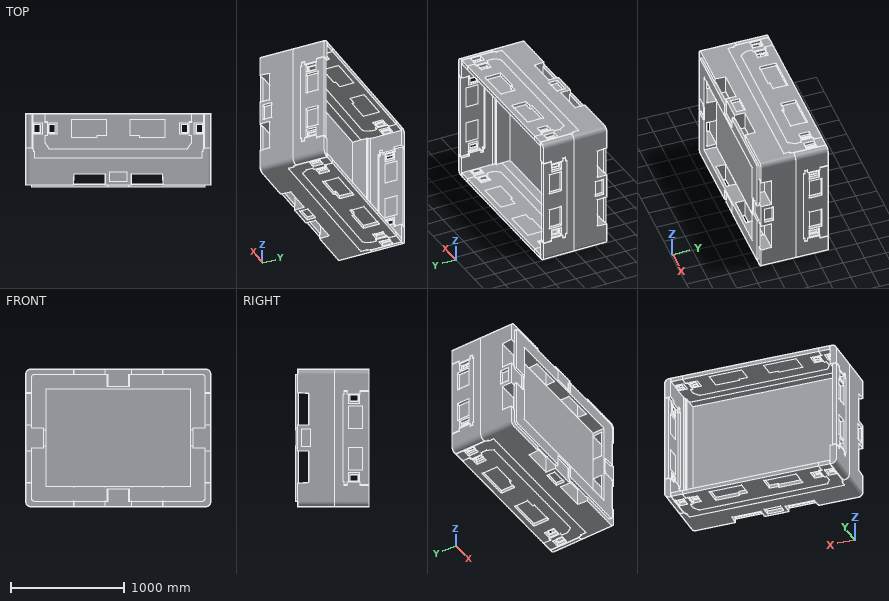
import cadquery as cq
LENGTH = 1638.0
WIDTH = 1219.0
HEIGHT = 650.0
CORNER_RADIUS = 46.0
END_WALL = 59.0
PANEL = 38.0
WALL_GAP = 5.0

MOUTH_Y = HEIGHT / 2
SKID_BOTTOM_Y = -HEIGHT / 2

END_SILL_Y = 20.0
LONG_SILL_Y = -65.0
FLOOR_Y = -147.0
FORK_TOP_Y = -210.0
FOOT_BOTTOM_Y = -306.0
UNDERSIDE_RECESS = 2.0

SKID_TOP_Y = -298.0
SKID_MARGIN_X = 50.0
SKID_MARGIN_Z = 48.0
SKID_CORNER_RADIUS = 30.0
WINDOW_HALF_X = 637.0
WINDOW_HALF_Z = 431.0
LONG_NOTCH_HALF = 90.0
LONG_NOTCH_CHAMFER = 10.0
END_NOTCH_HALF = 88.0
NOTCH_RIM = 23.0
END_RIM_DIP_HALF = 70.0
END_RIM_DIP = 3.0

FORK_INNER = 116.0
LONG_FORK_OUTER = 390.0
END_FORK_OUTER = 393.0
FORK_DRAFT = 7.0

FOOT_POCKET_HALF = 77.0
FOOT_POCKET_TOP_Y = -192.0
FOOT_POCKET_BOTTOM_Y = -274.0

POCKET_DEPTH = 31.0

LATCH_TAB_TOP_Y = 247.0
LATCH_TAB_BOTTOM_Y = 131.0
LATCH_RECESS_WIDTH = 74.0
LATCH_RECESS_TOP_Y = 242.0
LATCH_RECESS_BOTTOM_Y = 145.0
LATCH_RECESS_DEPTH = 31.0
LATCH_HOLE_WIDTH = 54.0
LATCH_HOLE_TOP_Y = 230.0
LATCH_HOLE_BOTTOM_Y = 157.0
LONG_WALL_LATCH = 745.0
LONG_DOOR_LATCH = 615.0
END_DOOR_LATCH = 380.0

LONG_WALL_HALF = LENGTH / 2 - END_WALL - WALL_GAP
LONG_WALL_STEP_HALF = 749.0
LONG_WALL_FOOT_HALF = 739.0
LONG_WALL_STEP_TOP_Y = 0.0
LONG_WALL_STEP_BOTTOM_Y = -10.0

LONG_DOOR_HALF = 649.0
LONG_DOOR_TAB_HALF = 626.0
LONG_DOOR_BOTTOM_HALF = 611.0
LONG_DOOR_GAP = 5.0
LONG_DOOR_CHAMFER_Y = 70.0
LONG_DOOR_BOTTOM_Y = 13.0
LONG_POCKET_OUTER = 415.0
LONG_POCKET_INNER = 105.0
LONG_POCKET_STEP = 187.0
LONG_POCKET_TOP_Y = 272.0
LONG_POCKET_BOTTOM_Y = 115.0
LONG_POCKET_STEP_Y = 133.0

END_OPENING_HALF = 420.0
END_DOOR_GAP = 5.0
END_DOOR_TAB_HALF = 390.0
END_DOOR_FOOT_HALF = 383.0
END_DOOR_SHOULDER_Y = 105.0
END_DOOR_BOTTOM_Y = 93.0
END_POCKET_OUTER = 283.0
END_POCKET_INNER = 84.0
END_POCKET_TOP_Y = 265.0
END_POCKET_BOTTOM_Y = 145.0


def block(x_range, y_range, z_range):
    """A box from its three coordinate ranges."""
    (x0, x1), (y0, y1), (z0, z1) = x_range, y_range, z_range
    box = cq.Workplane("XY").box(x1 - x0, y1 - y0, z1 - z0, centered=False)
    return box.translate((x0, y0, z0))


def panel(points, z_bottom, z_top):
    """A closed XY outline drawn out along Z."""
    outline = cq.Workplane("XY").workplane(offset=z_bottom).polyline(points).close()
    return outline.extrude(z_top - z_bottom)


def symmetric(right_half):
    """The right half of an outline, top to bottom, completed by its mirror image."""
    return right_half + [(-x, y) for x, y in reversed(right_half)]


def both_halves(shape):
    """A shape together with its mirror image about X = 0."""
    return shape.union(shape.mirror("YZ"))


def turned(shape, angle):
    """A side part modelled facing +Z, turned about Y to another side of the crate."""
    return shape.rotate((0, 0, 0), (0, 1, 0), angle)


def latch_cut(outer_edge, face):
    """Through holes with a wider outer recess, one at each end of a side whose outer face is at Z = face."""
    recess = block(
        (outer_edge - LATCH_RECESS_WIDTH, outer_edge),
        (LATCH_RECESS_BOTTOM_Y, LATCH_RECESS_TOP_Y),
        (face - LATCH_RECESS_DEPTH, face),
    )
    hole = block(
        (outer_edge - LATCH_HOLE_WIDTH, outer_edge),
        (LATCH_HOLE_BOTTOM_Y, LATCH_HOLE_TOP_Y),
        (face - PANEL, face),
    )
    return both_halves(recess.union(hole))


def long_wall_outline():
    return symmetric([
        (LONG_WALL_HALF, MOUTH_Y),
        (LONG_WALL_HALF, END_SILL_Y),
        (LONG_WALL_STEP_HALF, LONG_WALL_STEP_TOP_Y),
        (LONG_WALL_STEP_HALF, LONG_WALL_STEP_BOTTOM_Y),
        (LONG_WALL_FOOT_HALF, LONG_WALL_STEP_BOTTOM_Y),
        (LONG_WALL_FOOT_HALF, LONG_SILL_Y),
    ])


def long_door_outline(tab_top_y):
    return symmetric([
        (LONG_DOOR_HALF, MOUTH_Y),
        (LONG_DOOR_HALF, tab_top_y),
        (LONG_DOOR_TAB_HALF, tab_top_y),
        (LONG_DOOR_TAB_HALF, LATCH_TAB_BOTTOM_Y),
        (LONG_DOOR_HALF, LATCH_TAB_BOTTOM_Y),
        (LONG_DOOR_HALF, LONG_DOOR_CHAMFER_Y),
        (LONG_DOOR_BOTTOM_HALF, LONG_DOOR_BOTTOM_Y),
    ])


def end_door_outline(half_width):
    return symmetric([
        (half_width, MOUTH_Y),
        (half_width, LATCH_TAB_TOP_Y),
        (END_DOOR_TAB_HALF, LATCH_TAB_TOP_Y),
        (END_DOOR_TAB_HALF, LATCH_TAB_BOTTOM_Y),
        (half_width, LATCH_TAB_BOTTOM_Y),
        (half_width, END_DOOR_SHOULDER_Y),
        (END_DOOR_FOOT_HALF, END_DOOR_SHOULDER_Y),
        (END_DOOR_FOOT_HALF, END_DOOR_BOTTOM_Y),
    ])


def fork_cut(outer, face):
    """The two fork openings of a side whose outer face is at Z = face, cut right across the base."""
    opening = panel(
        [
            (FORK_INNER, FORK_TOP_Y),
            (outer, FORK_TOP_Y),
            (outer + FORK_DRAFT, FOOT_BOTTOM_Y),
            (FORK_INNER, FOOT_BOTTOM_Y),
        ],
        -face,
        face,
    )
    return both_halves(opening)


def foot_pocket_cut(face):
    """The label pocket in the middle foot of a side whose outer face is at Z = face."""
    return block(
        (-FOOT_POCKET_HALF, FOOT_POCKET_HALF),
        (FOOT_POCKET_BOTTOM_Y, FOOT_POCKET_TOP_Y),
        (face - POCKET_DEPTH, face),
    )


def long_notch_cut():
    """Notch in the skid ring at the +Z side, chamfered at both ends."""
    chamfer_y = SKID_BOTTOM_Y + LONG_NOTCH_CHAMFER
    outline = symmetric([
        (LONG_NOTCH_HALF, FOOT_BOTTOM_Y),
        (LONG_NOTCH_HALF, chamfer_y),
        (LONG_NOTCH_HALF + LONG_NOTCH_CHAMFER, SKID_BOTTOM_Y),
    ])
    return panel(outline, WINDOW_HALF_Z + NOTCH_RIM, WIDTH / 2)


def end_notch_cut():
    """Notch in the skid ring at the +X side, with a shallow dip in the rim behind it."""
    notch = block(
        (WINDOW_HALF_X + NOTCH_RIM, LENGTH / 2),
        (SKID_BOTTOM_Y, FOOT_BOTTOM_Y),
        (-END_NOTCH_HALF, END_NOTCH_HALF),
    )
    dip = block(
        (WINDOW_HALF_X, LENGTH / 2),
        (SKID_BOTTOM_Y, SKID_BOTTOM_Y + END_RIM_DIP),
        (-END_RIM_DIP_HALF, END_RIM_DIP_HALF),
    )
    return notch.union(dip)


def skid_ring():
    half_x = LENGTH / 2 - SKID_MARGIN_X
    half_z = WIDTH / 2 - SKID_MARGIN_Z
    ring = block((-half_x, half_x), (SKID_BOTTOM_Y, SKID_TOP_Y), (-half_z, half_z))
    ring = ring.edges("|Y").fillet(SKID_CORNER_RADIUS)
    for angle in (0, 180):
        ring = ring.cut(turned(long_notch_cut(), angle)).cut(turned(end_notch_cut(), angle))
    return ring


def pallet_base():
    base = block((-LENGTH / 2, LENGTH / 2), (FOOT_BOTTOM_Y, END_SILL_Y), (-WIDTH / 2, WIDTH / 2))
    base = base.edges("|Y").fillet(CORNER_RADIUS)
    base = base.cut(panel(long_wall_outline(), -WIDTH / 2, WIDTH / 2))
    base = base.cut(block(
        (-LONG_WALL_FOOT_HALF, LONG_WALL_FOOT_HALF),
        (FLOOR_Y, END_SILL_Y),
        (PANEL - WIDTH / 2, WIDTH / 2 - PANEL),
    ))
    base = base.cut(fork_cut(LONG_FORK_OUTER, WIDTH / 2))
    base = base.cut(turned(fork_cut(END_FORK_OUTER, LENGTH / 2), 90))
    for angle in (0, 180):
        base = base.cut(turned(foot_pocket_cut(WIDTH / 2), angle))
        base = base.cut(turned(foot_pocket_cut(LENGTH / 2), angle + 90))
    base = base.union(skid_ring())
    return base.cut(block(
        (-WINDOW_HALF_X, WINDOW_HALF_X),
        (SKID_BOTTOM_Y, FORK_TOP_Y + UNDERSIDE_RECESS),
        (-WINDOW_HALF_Z, WINDOW_HALF_Z),
    ))


def long_wall():
    face = WIDTH / 2
    wall = panel(long_wall_outline(), face - PANEL, face)
    wall = wall.cut(panel(long_door_outline(LATCH_TAB_TOP_Y), face - PANEL, face))
    return wall.cut(latch_cut(LONG_WALL_LATCH, face))


def long_door():
    face = WIDTH / 2
    grip_pocket = panel(
        [
            (LONG_POCKET_OUTER, LONG_POCKET_TOP_Y),
            (LONG_POCKET_INNER, LONG_POCKET_TOP_Y),
            (LONG_POCKET_INNER, LONG_POCKET_STEP_Y),
            (LONG_POCKET_STEP, LONG_POCKET_STEP_Y),
            (LONG_POCKET_STEP, LONG_POCKET_BOTTOM_Y),
            (LONG_POCKET_OUTER, LONG_POCKET_BOTTOM_Y),
        ],
        face - POCKET_DEPTH,
        face,
    )
    door = panel(long_door_outline(LATCH_TAB_TOP_Y + LONG_DOOR_GAP), face - PANEL, face)
    return door.cut(both_halves(grip_pocket)).cut(latch_cut(LONG_DOOR_LATCH, face))


def end_wall():
    face = LENGTH / 2
    wall = block((-WIDTH / 2, WIDTH / 2), (END_SILL_Y, MOUTH_Y), (face - END_WALL, face))
    wall = wall.edges("|Y and >Z").fillet(CORNER_RADIUS)
    return wall.cut(panel(end_door_outline(END_OPENING_HALF), face - END_WALL, face))


def end_door():
    face = LENGTH / 2
    grip_pocket = block(
        (END_POCKET_INNER, END_POCKET_OUTER),
        (END_POCKET_BOTTOM_Y, END_POCKET_TOP_Y),
        (face - POCKET_DEPTH, face),
    )
    door = panel(end_door_outline(END_OPENING_HALF - END_DOOR_GAP), face - PANEL, face)
    return door.cut(both_halves(grip_pocket)).cut(latch_cut(END_DOOR_LATCH, face))


bodies = [pallet_base().val()]
for side_angle in (0, 180):
    bodies.append(turned(long_wall(), side_angle).val())
    bodies.append(turned(long_door(), side_angle).val())
    bodies.append(turned(end_wall(), side_angle + 90).val())
    bodies.append(turned(end_door(), side_angle + 90).val())

result = cq.Compound.makeCompound(bodies)